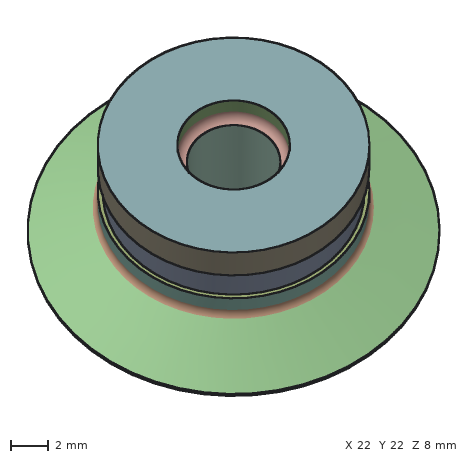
import cadquery as cq
import math

total_height = 8.0
skirt_radius = 22 / 2
neck_radius = 14.5 / 2
groove_radius = 14.0 / 2
bore_radius = 5.0 / 2
counterbore_radius = 6.0 / 2

round_radius = 0.5
skirt_slope = math.radians(30)
groove_bottom = 4.0
groove_top = 6.0
counterbore_wall = 1.0
seat_radius = counterbore_radius - bore_radius

corner_height = round_radius + (skirt_radius - neck_radius) * math.tan(skirt_slope)
turn_angle = math.pi / 2 - skirt_slope
tangent_length = round_radius * math.tan(turn_angle / 2)
fillet_start = (
    neck_radius + tangent_length * math.cos(skirt_slope),
    corner_height - tangent_length * math.sin(skirt_slope),
)
fillet_end = (neck_radius, corner_height + tangent_length)
fillet_center_x = neck_radius + round_radius
fillet_middle = (
    fillet_center_x - round_radius * math.cos(turn_angle / 2),
    fillet_end[1] - round_radius * math.sin(turn_angle / 2),
)

diagonal = math.sqrt(0.5)
lip_center_x = skirt_radius - round_radius
lip_middle = (
    lip_center_x + round_radius * diagonal,
    round_radius * (1 - diagonal),
)
seat_top = total_height - counterbore_wall
seat_middle = (
    bore_radius + seat_radius * diagonal,
    seat_top - seat_radius * diagonal,
)

half_section = (
    cq.Workplane("XZ")
    .moveTo(bore_radius, 0)
    .lineTo(lip_center_x, 0)
    .threePointArc(lip_middle, (skirt_radius, round_radius))
    .lineTo(*fillet_start)
    .threePointArc(fillet_middle, fillet_end)
    .lineTo(neck_radius, groove_bottom)
    .lineTo(groove_radius, groove_bottom)
    .lineTo(groove_radius, groove_top)
    .lineTo(neck_radius, groove_top)
    .lineTo(neck_radius, total_height)
    .lineTo(counterbore_radius, total_height)
    .lineTo(counterbore_radius, seat_top)
    .threePointArc(seat_middle, (bore_radius, seat_top - seat_radius))
    .close()
)

result = half_section.revolve(360, (0, 0, 0), (0, 1, 0))